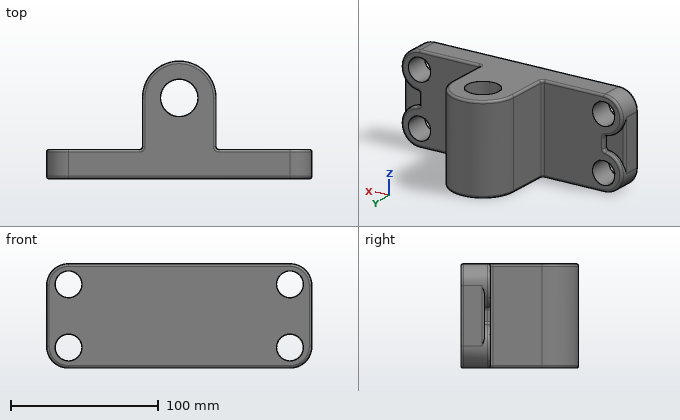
import cadquery as cq

plate_length = 180.0
plate_height = 71.0
plate_thickness = 20.0
corner_radius = 15.0
edge_round = 1.8

mount_hole_diameter = 18.0
mount_hole_x = plate_length / 2 - corner_radius
mount_hole_z = 21.5

recess_depth = 3.8
corner_center_x = plate_length / 2 - corner_radius
corner_center_z = plate_height / 2 - corner_radius
recess_half_height = corner_center_z - corner_radius

total_depth = 80.0
lug_radius = 25.0
lug_center_y = total_depth - lug_radius
pin_hole_diameter = 25.2


def slab(outline, thickness):
    """Extrude an XZ outline from the plate's front face toward +Y."""
    return outline.extrude(-thickness)


def make_core():
    """Block between the corner rounds that carries the flat ends and the recess floors."""
    outline = cq.Workplane("XZ").rect(plate_length, 2 * corner_center_z)
    core = slab(outline, plate_thickness - recess_depth)
    return core.faces(">Y").edges("|Z").fillet(edge_round)


def make_pads():
    """Full-thickness part of the plate: a wide bar with two round pads at each end."""
    bar = slab(
        cq.Workplane("XZ").rect(2 * corner_center_x, plate_height),
        plate_thickness,
    )
    centers = [(x, z) for x in (-corner_center_x, corner_center_x)
               for z in (-corner_center_z, corner_center_z)]
    discs = slab(
        cq.Workplane("XZ").pushPoints(centers).circle(corner_radius),
        plate_thickness,
    )
    pads = bar.union(discs)
    inner_corners = cq.selectors.BoxSelector(
        (-plate_length, 0, -recess_half_height - edge_round),
        (plate_length, plate_thickness, recess_half_height + edge_round),
    )
    return pads.edges("|Y").edges(inner_corners).fillet(edge_round)


def lug_cylinder(radius):
    """Full-height cylinder on the lug's axis."""
    bottom = cq.Workplane("XY", origin=(0, lug_center_y, -plate_height / 2))
    return bottom.circle(radius).extrude(plate_height)


def make_lug():
    """Lug as tall as the plate, ending in a half cylinder."""
    arm = cq.Workplane("XY").box(
        2 * lug_radius, lug_center_y, plate_height
    ).translate((0, lug_center_y / 2, 0))
    return arm.union(lug_cylinder(lug_radius))


def round_raised_back(body):
    """Fillet the lug's root, then round the outer edges of the pads and lug."""
    root = cq.selectors.BoxSelector(
        (-lug_radius - edge_round, plate_thickness - edge_round, -plate_height),
        (lug_radius + edge_round, plate_thickness + edge_round, plate_height),
    )
    body = body.edges("|Z").edges(root).fillet(edge_round)
    outer_edges = cq.selectors.BoxSelector(
        (-plate_length, plate_thickness - edge_round / 2, -plate_height),
        (plate_length, total_depth + edge_round, plate_height),
    )
    return body.edges("not |Z").edges(outer_edges).fillet(edge_round)


def cut_holes(body):
    """Cut the four mounting holes along Y and the pin hole along Z."""
    mounts = slab(
        cq.Workplane("XZ")
        .rect(2 * mount_hole_x, 2 * mount_hole_z, forConstruction=True)
        .vertices()
        .circle(mount_hole_diameter / 2),
        plate_thickness,
    )
    return body.cut(mounts).cut(lug_cylinder(pin_hole_diameter / 2))


raised_body = round_raised_back(make_pads().union(make_lug()))
bracket = make_core().union(raised_body)
bracket = bracket.faces("<Y").edges().fillet(edge_round)
result = cut_holes(bracket)